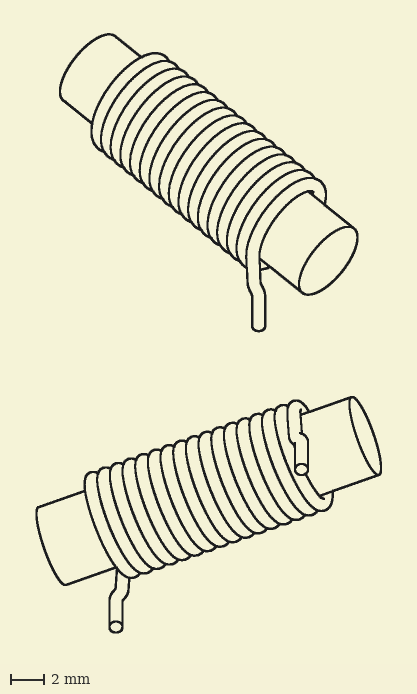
import cadquery as cq
import math

core_diameter = 5.0
core_length = 20.5

wire_diameter = 0.8
coil_gap = 0.15
coil_radius = core_diameter / 2 + coil_gap + wire_diameter / 2
pitch = 0.83
turns = 16.5
coil_length = pitch * turns
coil_end_x = coil_length / 2

tangent_drop = 2.45
bend_drop = 1.0
leg_length = 3.0
lean_angle = math.atan(pitch / (2 * math.pi * coil_radius))
bend_angle = math.radians(42)
bend_radius = bend_drop / (2 * math.sin(bend_angle) - math.sin(lean_angle))


def make_core():
    return cq.Workplane("YZ").circle(core_diameter / 2).extrude(core_length / 2, both=True)


def make_winding():
    """Helix about X, from the +Y side at -X to the -Y side at +X."""
    helix = cq.Wire.makeHelix(pitch, coil_length, coil_radius)
    start = cq.Plane(origin=(coil_radius, 0, 0), xDir=(1, 0, 0),
                     normal=(0, math.cos(lean_angle), math.sin(lean_angle)))
    upright = cq.Workplane(start).circle(wire_diameter / 2).sweep(cq.Workplane(helix), isFrenet=True)
    coil_axis = cq.Plane(origin=(-coil_end_x, 0, 0), xDir=(0, 1, 0), normal=(1, 0, 0))
    return cq.Workplane(upright.val().moved(cq.Location(coil_axis)))


def make_lead():
    """Lead at the +X end; its centre line lies in the plane tangent to the coil at -Y."""
    bend_start_x = coil_end_x + tangent_drop * math.tan(lean_angle)
    bend_middle_x = bend_start_x + bend_radius * (math.cos(lean_angle) - math.cos(bend_angle))
    bend_middle_z = -tangent_drop - bend_radius * (math.sin(bend_angle) - math.sin(lean_angle))
    leg_x = bend_middle_x + bend_radius * (1 - math.cos(bend_angle))
    leg_top_z = -tangent_drop - bend_drop

    path = (
        cq.Workplane("XZ", origin=(0, -coil_radius, 0))
        .moveTo(coil_end_x, 0)
        .lineTo(bend_start_x, -tangent_drop)
        .tangentArcPoint((bend_middle_x, bend_middle_z), relative=False)
        .tangentArcPoint((leg_x, leg_top_z), relative=False)
        .lineTo(leg_x, leg_top_z - leg_length)
    )
    start = cq.Plane(origin=(coil_end_x, -coil_radius, 0), xDir=(0, 1, 0),
                     normal=(math.sin(lean_angle), 0, -math.cos(lean_angle)))
    return cq.Workplane(start).circle(wire_diameter / 2).sweep(path)


def make_coil():
    coil = make_winding()
    lead = make_lead()
    for turn_angle in (0, 180):
        coil = coil.union(lead.rotate((0, 0, 0), (0, 0, 1), turn_angle))
    return coil


core = make_core()
coil = make_coil()

result = cq.Compound.makeCompound([core.val(), *coil.solids().vals()])